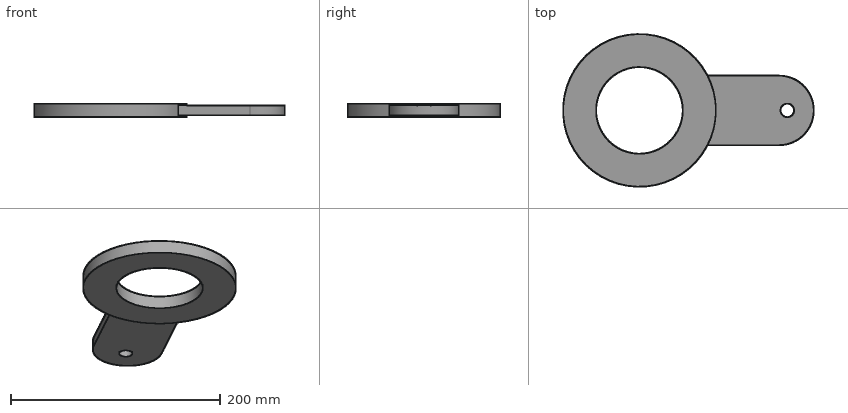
import cadquery as cq

ring_outer_diameter = 146.05
ring_inner_diameter = 82.55
ring_thickness = 12.7

overall_length = 239.63
handle_width = 66.675
handle_thickness = 9.525
hole_diameter = 12.7
hole_to_tip = 25.4

ring_outer_radius = ring_outer_diameter / 2
handle_tip_x = overall_length - ring_outer_radius
handle_end_radius = handle_width / 2
handle_end_center_x = handle_tip_x - handle_end_radius
hole_center_x = handle_tip_x - hole_to_tip


def disc(diameter, thickness, center_x=0):
    """Solid disc centred on the XY plane."""
    return cq.Workplane("XY").center(center_x, 0).circle(diameter / 2).extrude(thickness / 2, both=True)


def handle():
    """Bar from the ring centre to a full-round end, with a hanging hole."""
    bar = (
        cq.Workplane("XY")
        .moveTo(0, -handle_end_radius)
        .lineTo(handle_end_center_x, -handle_end_radius)
        .threePointArc((handle_tip_x, 0), (handle_end_center_x, handle_end_radius))
        .lineTo(0, handle_end_radius)
        .close()
        .extrude(handle_thickness / 2, both=True)
    )
    return bar.cut(disc(hole_diameter, handle_thickness, hole_center_x))


ring_bore = disc(ring_inner_diameter, ring_thickness)
result = disc(ring_outer_diameter, ring_thickness).union(handle()).cut(ring_bore)